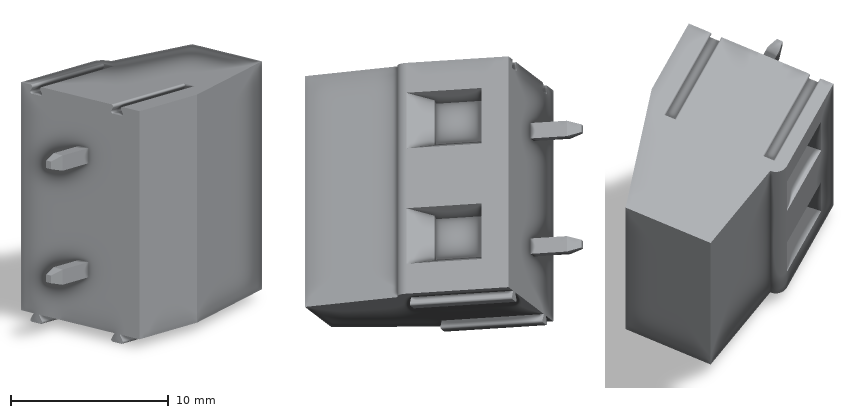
import cadquery as cq
import math


overall_height = 17.3
body_width = 10.2
body_height = 14.0
pole_count = 2
pole_pitch = 7.5
row_length = pole_count * pole_pitch

shoulder_height = 6.75
shoulder_radius = 0.8
top_left = 1.87
top_right = 7.87
back_slope_start = 5.4

pocket_height = 3.62
pocket_bottom = 1.78
pocket_depth = 1.49
pocket_side_draft = 0.48
pocket_bottom_draft = 0.4
lead_in_depth = 1.07
lead_in_end = 5.2

pin_center = 5.4
pin_width = 0.8
pin_thickness = 1.0
pin_length = overall_height - body_height
pin_taper_length = 0.9
pin_tip_scale = 0.5

dovetail_centers = (1.3, 8.27)
dovetail_length = shoulder_height
dovetail_depth = 0.59
dovetail_half_neck = 0.22
dovetail_flank_angle = math.radians(57)
dovetail_foot_radius = 0.12
groove_lip_radius = 0.14


def make_housing():
    arc_offset = shoulder_radius * (1 - math.sqrt(0.5))
    shoulder_top = shoulder_height + shoulder_radius
    return (
        cq.Workplane("XY")
        .lineTo(body_width, 0)
        .lineTo(body_width, back_slope_start)
        .lineTo(top_right, body_height)
        .lineTo(top_left, body_height)
        .lineTo(shoulder_radius, shoulder_top)
        .threePointArc((arc_offset, shoulder_top - arc_offset), (0, shoulder_height))
        .close()
        .extrude(row_length)
    )


def make_pocket(center_z):
    half_mouth = pocket_height / 2
    half_floor = half_mouth - pocket_side_draft
    side_prism = (
        cq.Workplane("XY", origin=(0, 0, center_z - half_mouth))
        .polyline([
            (0, pocket_bottom),
            (pocket_depth, pocket_bottom + pocket_bottom_draft),
            (pocket_depth, lead_in_end),
            (lead_in_depth, lead_in_end),
            (0, shoulder_height),
        ])
        .close()
        .extrude(pocket_height)
    )
    drafted_prism = (
        cq.Workplane("XZ", origin=(0, 0, center_z))
        .polyline([
            (0, -half_mouth),
            (pocket_depth, -half_floor),
            (pocket_depth, half_floor),
            (0, half_mouth),
        ])
        .close()
        .extrude(-shoulder_height)
    )
    return side_prism.intersect(drafted_prism)


def make_pin(center_z):
    shank_length = pin_length - pin_taper_length
    shank = (
        cq.Workplane("XZ", origin=(pin_center, 0, center_z))
        .rect(pin_width, pin_thickness)
        .extrude(shank_length)
    )
    tip = (
        cq.Workplane("XZ", origin=(pin_center, -shank_length, center_z))
        .rect(pin_width, pin_thickness)
        .workplane(offset=pin_taper_length)
        .rect(pin_width * pin_tip_scale, pin_thickness * pin_tip_scale)
        .loft(ruled=True)
    )
    return shank.union(tip)


def make_dovetail(center_x, end_z, lip_radius):
    angle = dovetail_flank_angle
    setback = 1 / math.tan(angle / 2)
    flank_reach = 1 + math.cos(angle)

    lip_x = dovetail_half_neck + lip_radius * setback
    foot_corner = dovetail_half_neck + dovetail_depth / math.tan(angle)
    foot_x = foot_corner - dovetail_foot_radius * setback

    lip_start = (lip_x, 0)
    lip_middle = (lip_x - lip_radius, -lip_radius)
    lip_end = (lip_x - lip_radius * math.sin(angle), -lip_radius * flank_reach)
    foot_start = (
        foot_x + dovetail_foot_radius * math.sin(angle),
        dovetail_foot_radius * flank_reach - dovetail_depth,
    )
    foot_middle = (foot_x + dovetail_foot_radius, dovetail_foot_radius - dovetail_depth)
    foot_end = (foot_x, -dovetail_depth)

    half = cq.Workplane("XZ", origin=(center_x, 0, end_z)).lineTo(*lip_start)
    if lip_radius > 0:
        half = half.threePointArc(lip_middle, lip_end)
    half = (
        half.lineTo(*foot_start)
        .threePointArc(foot_middle, foot_end)
        .lineTo(0, -dovetail_depth)
        .close()
        .extrude(-dovetail_length)
    )
    return half.mirror("YZ", (center_x, 0, 0), union=True)


result = make_housing()

for pole in range(pole_count):
    pole_z = (pole + 0.5) * pole_pitch
    result = result.cut(make_pocket(pole_z)).union(make_pin(pole_z))

for dovetail_x in dovetail_centers:
    groove = make_dovetail(dovetail_x, row_length, groove_lip_radius)
    rail = make_dovetail(dovetail_x, 0, 0)
    result = result.cut(groove).union(rail)